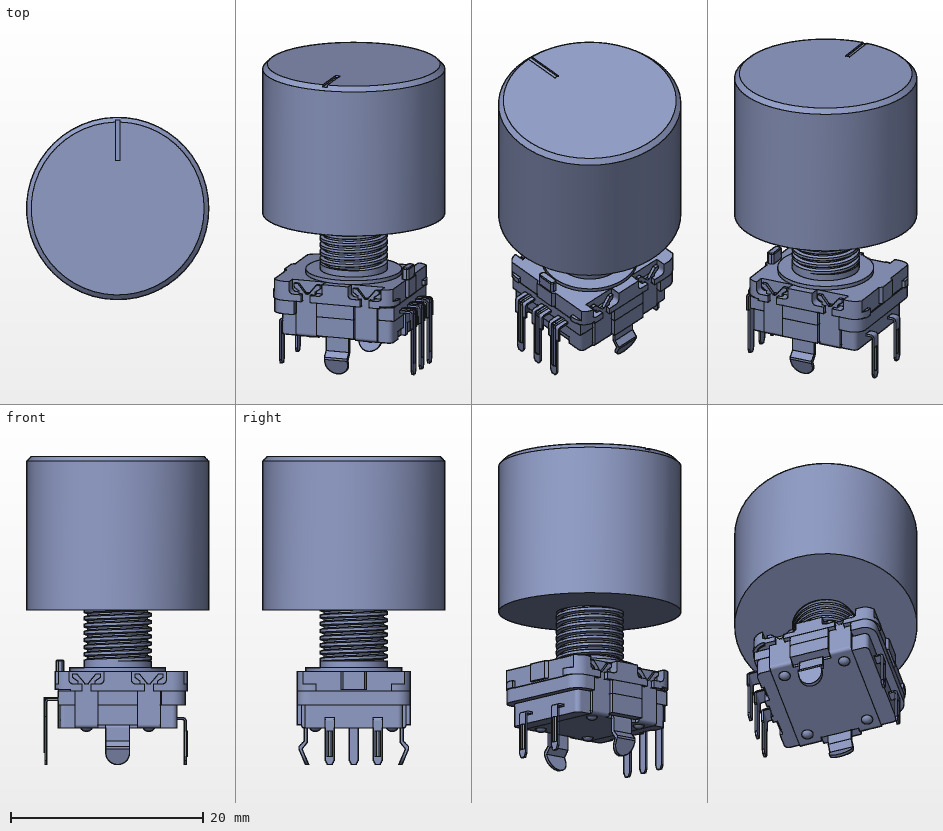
import cadquery as cq


knob_radius = 9.5
knob_bevel = 0.5
knob_bottom_z = 12.3
knob_height = 16.0
mark_width = 0.5
mark_depth = 0.2
mark_inner_y = 5.0

base_top_z = 2.4
board_top_z = 3.85
housing_top_z = 5.9
body_half_y = 5.1
panel_half_y = 5.9
base_left_x = -6.0
base_right_x = 6.2
base_corner_radius = 0.5
board_left_x = -6.2
board_right_x = 7.05
board_corner_radius = 1.35
board_wing_x = 4.55
center_rib_half_y = 1.45
terminal_notch_outer_y = 3.2
terminal_notch_depth = 0.3
terminal_notch_height = 0.85
center_notch_half_y = 0.7
center_notch_height = 1.2

housing_left_x = -6.5
housing_right_x = 7.25
housing_corner_radius = 1.6
flat_depth = 0.33
skirt_top_z = 4.6
skirt_bottom_z = 4.05
skirt_inner_y = 3.95
boss_half_y = 1.35
boss_bevel = 0.25
lug_left_x = -6.4
lug_length = 0.8
lug_half_y = 1.05
lug_bevel = 0.22
lug_top_bevel = 0.1
lug_top_z = 7.1

flange_radius = 5.0
flange_height = 0.4
bushing_radius = 3.5
thread_pitch = 0.75
thread_turns = 9
thread_start_z = 6.18
collar_top_z = 6.97
thread_depth = 0.38
groove_outer_width = 0.45
groove_root_width = 0.2
cut_tolerance = 1e-3

sheet = 0.35
strap_x = 3.25
strap_width = 2.4
strap_outer_y = body_half_y + sheet
strap_bend_radius = 0.34
neck_half_width = 0.48
fork_half_width = 1.45
fork_tip_half_width = 1.0
fork_foot_half_width = 0.9
fork_valley_half_width = 0.12
fork_top_z = 5.65
fork_tip_bottom_z = 5.28
fork_foot_top_z = 4.9
pocket_width = 3.65
pocket_back_y = 4.8
pocket_corner_radius = 0.45
leg_half_width = 1.25
leg_outer_y = 5.17
leg_kink_y = 5.72
leg_kink_z = -2.05
leg_kink_flat = 0.24
leg_bend_z = -1.35
leg_bend_offset = 0.12
leg_toe_y = 5.03
plate_lap_y = 4.0
dimple_y = 4.0
dimple_radius = 0.6
dimple_height = 0.35

tip_z = -3.8
pin_sheet = 0.22
pin_inner_bend = 0.15
pin_width = 0.94
pin_tip_half_width = 0.25
pin_tip_length = 0.45
pin_pitch = 2.5
bead_height = 0.1
bead_base_width = 0.6
bead_crest_width = 0.25
signal_pin_top_z = 3.1
signal_pin_outer_x = -7.58
signal_shoulder_width = 1.5
signal_shoulder_z = 1.2
signal_bead_end_z = -2.55
switch_pin_top_z = 1.1
switch_pin_outer_x = 7.15
switch_bead_top_z = -0.3
switch_bead_end_z = -2.95


def block(x0, x1, y0, y1, z0, z1):
    """Axis-aligned box between two opposite corners."""
    return cq.Workplane("XY").box(x1 - x0, y1 - y0, z1 - z0, centered=False).translate((x0, y0, z0))


def both_y_sides(shape):
    """The shape together with its mirror image across the XZ plane."""
    return shape.union(shape.mirror("XZ"))


def make_knob():
    knob = (
        cq.Workplane("XY", origin=(0, 0, knob_bottom_z))
        .circle(knob_radius)
        .extrude(knob_height)
        .faces(">Z")
        .chamfer(knob_bevel)
    )
    top_z = knob_bottom_z + knob_height
    mark = block(-mark_width / 2, mark_width / 2, mark_inner_y, knob_radius, top_z - mark_depth, top_z)
    return knob.cut(mark)


def make_thread_groove():
    """Right-handed trapezoidal groove running from inside the collar's height out through the top."""
    helix = cq.Wire.makeHelix(thread_pitch, thread_pitch * thread_turns, bushing_radius)
    overrun = 0.1
    profile = (
        cq.Workplane("XZ")
        .moveTo(bushing_radius - thread_depth, -groove_root_width / 2)
        .lineTo(bushing_radius - thread_depth, groove_root_width / 2)
        .lineTo(bushing_radius, groove_outer_width / 2)
        .lineTo(bushing_radius + overrun, groove_outer_width / 2)
        .lineTo(bushing_radius + overrun, -groove_outer_width / 2)
        .lineTo(bushing_radius, -groove_outer_width / 2)
        .close()
    )
    return profile.sweep(cq.Workplane(helix), isFrenet=True).translate((0, 0, thread_start_z))


def make_bushing():
    flange = cq.Workplane("XY", origin=(0, 0, housing_top_z)).circle(flange_radius).extrude(flange_height)
    collar_height = collar_top_z - housing_top_z
    collar = cq.Workplane("XY", origin=(0, 0, housing_top_z)).circle(bushing_radius).extrude(collar_height)
    barrel_height = knob_bottom_z - collar_top_z
    barrel = cq.Workplane("XY", origin=(0, 0, collar_top_z)).circle(bushing_radius).extrude(barrel_height)
    barrel = barrel.rotate((0, 0, 0), (0, 0, 1), 180)
    return flange.union(collar).union(barrel.cut(make_thread_groove(), tol=cut_tolerance))


def make_end_boss(x_outer, inward):
    """Bevelled boss on one end flat; inward is the X direction towards the encoder axis."""
    x_flat = x_outer + inward * flat_depth
    outline = [
        (x_flat + inward * flat_depth, -boss_half_y),
        (x_flat, -boss_half_y),
        (x_outer, -boss_half_y + boss_bevel),
        (x_outer, boss_half_y - boss_bevel),
        (x_flat, boss_half_y),
        (x_flat + inward * flat_depth, boss_half_y),
    ]
    boss_height = housing_top_z - skirt_bottom_z
    return cq.Workplane("XY", origin=(0, 0, skirt_bottom_z)).polyline(outline).close().extrude(boss_height)


def make_strap_recess(x):
    """Slot for the strap's neck below an open pocket for its fork, on the -Y side."""
    slot = block(
        x - neck_half_width, x + neck_half_width, -panel_half_y, -body_half_y, board_top_z, skirt_top_z
    )
    pocket = block(
        x - pocket_width / 2, x + pocket_width / 2, -panel_half_y, -pocket_back_y, skirt_top_z, housing_top_z
    )
    pocket = pocket.edges("|Y and <Z").fillet(pocket_corner_radius)
    return slot.union(pocket)


def make_housing():
    plate = block(
        housing_left_x, housing_right_x, -panel_half_y, panel_half_y, board_top_z, housing_top_z
    )
    plate = plate.edges("|Z").fillet(housing_corner_radius)

    for x_outer, inward in ((housing_left_x, 1), (housing_right_x, -1)):
        x_flat = x_outer + inward * flat_depth
        x0, x1 = sorted((x_outer, x_flat))
        plate = plate.cut(block(x0, x1, -panel_half_y, panel_half_y, skirt_top_z, housing_top_z))
        plate = plate.cut(block(x0, x1, -skirt_inner_y, skirt_inner_y, board_top_z, skirt_top_z))
        plate = plate.union(make_end_boss(x_outer, inward))

    corner_x = housing_left_x + housing_corner_radius
    corner_y = panel_half_y - housing_corner_radius
    undercut = block(housing_left_x, corner_x, corner_y, panel_half_y, board_top_z, skirt_bottom_z)
    kept_corner = (
        cq.Workplane("XY", origin=(corner_x, corner_y, board_top_z))
        .circle(housing_corner_radius - flat_depth)
        .extrude(skirt_bottom_z - board_top_z)
    )
    skirt_lip = block(
        housing_left_x, housing_left_x + flat_depth, skirt_inner_y, corner_y, board_top_z, skirt_bottom_z
    )
    plate = plate.cut(both_y_sides(undercut.cut(kept_corner).union(skirt_lip)))

    for x in (-strap_x, strap_x):
        plate = plate.cut(both_y_sides(make_strap_recess(x)))

    lug = block(lug_left_x, lug_left_x + lug_length, -lug_half_y, lug_half_y, skirt_top_z, lug_top_z)
    lug = lug.edges("|Z").chamfer(lug_bevel).faces(">Z").chamfer(lug_top_bevel)
    return plate.union(lug).union(make_bushing())


def center_panel(z0, z1):
    """Raised middle panel between the straps, spanning both Y sides."""
    half_x = strap_x - strap_width / 2
    return block(-half_x, half_x, -panel_half_y, panel_half_y, z0, z1)


def make_terminal_board():
    board = block(board_left_x, board_right_x, -body_half_y, body_half_y, base_top_z, board_top_z)
    wing = block(board_wing_x, board_right_x, -panel_half_y, panel_half_y, base_top_z, board_top_z)
    wing = wing.edges("|Z and >X").fillet(board_corner_radius)
    board = board.cut(block(board_wing_x, board_right_x, -body_half_y, body_half_y, base_top_z, board_top_z))
    return board.union(wing).union(center_panel(base_top_z, board_top_z))


def make_base():
    base = block(base_left_x, base_right_x, -body_half_y, body_half_y, 0, base_top_z)
    base = base.edges("|Z").fillet(base_corner_radius)
    base = base.union(
        block(board_left_x, base_left_x, -center_rib_half_y, center_rib_half_y, 0, base_top_z)
    )
    center_notch = block(
        board_left_x, base_left_x, -center_notch_half_y, center_notch_half_y, 0, center_notch_height
    )
    base = base.cut(center_notch)
    base = base.union(center_panel(sheet, base_top_z))
    notch = block(
        base_left_x,
        base_left_x + terminal_notch_depth,
        center_rib_half_y,
        terminal_notch_outer_y,
        0,
        terminal_notch_height,
    )
    base = base.cut(both_y_sides(notch))
    channel_half_x = strap_x + strap_width / 2
    return base.cut(block(-channel_half_x, channel_half_x, -body_half_y, body_half_y, 0, sheet))


def make_strap(x):
    """Strap up the -Y side, rounded at the bottom, with a spread fork locking it in the housing."""
    strap = block(
        x - strap_width / 2, x + strap_width / 2, -strap_outer_y, -body_half_y, 0, board_top_z
    )
    strap = strap.edges("|X and <Z and <Y").fillet(strap_bend_radius)
    half_outline = [
        (neck_half_width, board_top_z),
        (neck_half_width, skirt_top_z),
        (fork_foot_half_width, skirt_top_z),
        (fork_foot_half_width, fork_foot_top_z),
        (fork_half_width, fork_tip_bottom_z),
        (fork_half_width, fork_top_z),
        (fork_tip_half_width, fork_top_z),
        (fork_valley_half_width, skirt_top_z),
    ]
    outline = half_outline + [(-u, z) for u, z in reversed(half_outline)]
    fork = cq.Workplane("XZ", origin=(x, -body_half_y, 0)).polyline(outline).close().extrude(sheet)
    return strap.union(fork)


def make_leg():
    """Snap-in leg on the -Y side: bent down from the plate, kinked outwards, with a round toe."""
    side_shape = (
        cq.Workplane("YZ", origin=(-leg_half_width, 0, 0))
        .moveTo(-plate_lap_y, sheet)
        .lineTo(-leg_outer_y + sheet, sheet)
        .radiusArc((-leg_outer_y, 0), -sheet)
        .lineTo(-leg_outer_y, leg_bend_z)
        .lineTo(-leg_kink_y, leg_kink_z + leg_kink_flat / 2)
        .lineTo(-leg_kink_y, leg_kink_z - leg_kink_flat / 2)
        .lineTo(-leg_toe_y, tip_z)
        .lineTo(-leg_toe_y + sheet, tip_z)
        .lineTo(-leg_kink_y + sheet, leg_kink_z - leg_kink_flat / 2)
        .lineTo(-leg_outer_y + sheet, leg_bend_z - leg_bend_offset)
        .lineTo(-leg_outer_y + sheet, 0)
        .lineTo(-plate_lap_y, 0)
        .close()
    )
    leg = side_shape.extrude(2 * leg_half_width)
    toe_center_z = tip_z + leg_half_width
    front_shape = (
        cq.Workplane("XZ")
        .moveTo(-leg_half_width, sheet)
        .lineTo(-leg_half_width, toe_center_z)
        .threePointArc((0, tip_z), (leg_half_width, toe_center_z))
        .lineTo(leg_half_width, sheet)
        .close()
        .extrude(panel_half_y)
    )
    return leg.intersect(front_shape)


def make_dimple(x):
    """Shallow spherical bump under the plate on the -Y side."""
    sphere_radius = (dimple_radius**2 + dimple_height**2) / (2 * dimple_height)
    ball = cq.Workplane("XY").sphere(sphere_radius)
    ball = ball.translate((x, -dimple_y, sphere_radius - dimple_height))
    below_plate = block(
        x - strap_width / 2, x + strap_width / 2, -body_half_y, 0, -dimple_height, sheet / 2
    )
    return ball.intersect(below_plate)


def make_bracket():
    plate_half_x = strap_x + strap_width / 2
    plate_half_y = leg_outer_y - sheet
    bracket = block(-plate_half_x, plate_half_x, -plate_half_y, plate_half_y, 0, sheet)
    side = make_leg()
    for x in (-strap_x, strap_x):
        x0 = x - strap_width / 2
        side = side.union(block(x0, x0 + strap_width, -body_half_y, -plate_lap_y, 0, sheet))
        side = side.union(make_strap(x))
        side = side.union(make_dimple(x))
    return bracket.union(both_y_sides(side))


def make_pin(root_x, outer_x, top_z, y):
    """L-shaped sheet terminal: out from the body at root_x, then down to a tapered tip."""
    outward = 1 if outer_x > root_x else -1
    inner_x = outer_x - outward * pin_sheet
    outer_bend = pin_inner_bend + pin_sheet
    profile = (
        cq.Workplane("XZ", origin=(0, y, 0))
        .moveTo(root_x, top_z)
        .lineTo(outer_x - outward * outer_bend, top_z)
        .radiusArc((outer_x, top_z - outer_bend), outward * outer_bend)
        .lineTo(outer_x, tip_z)
        .lineTo(inner_x, tip_z)
        .lineTo(inner_x, top_z - outer_bend)
        .radiusArc((inner_x - outward * pin_inner_bend, top_z - pin_sheet), -outward * pin_inner_bend)
        .lineTo(root_x, top_z - pin_sheet)
        .close()
    )
    return profile.extrude(signal_shoulder_width / 2, both=True)


def make_pin_trim(y):
    """Prism along X that trims a terminal to its width and tapers its tip."""
    taper_z = tip_z + pin_tip_length
    outline = [
        (-pin_width / 2, signal_pin_top_z),
        (-pin_width / 2, taper_z),
        (-pin_tip_half_width, tip_z),
        (pin_tip_half_width, tip_z),
        (pin_width / 2, taper_z),
        (pin_width / 2, signal_pin_top_z),
    ]
    return cq.Workplane("YZ", origin=(0, y, 0)).polyline(outline).close().extrude(knob_radius, both=True)


def make_bead(path_points, y, outward):
    """Trapezoidal stiffening bead along an XZ path, on the face towards outward (+1 or -1 in X)."""
    (x0, z0), (x1, z1) = path_points[:2]
    path = cq.Workplane("XZ", origin=(0, y, 0)).polyline(path_points)
    outline = [
        (-bead_base_width / 2, 0),
        (-bead_crest_width / 2, bead_height),
        (bead_crest_width / 2, bead_height),
        (bead_base_width / 2, 0),
    ]
    plane = cq.Plane(origin=(x0, y, z0), xDir=(0, outward, 0), normal=(x1 - x0, 0, z1 - z0))
    return cq.Workplane(plane).polyline(outline).close().sweep(path, transition="right")


def make_signal_pin(y):
    pin = make_pin(board_left_x, signal_pin_outer_x, signal_pin_top_z, y)
    half_shoulder = signal_shoulder_width / 2
    shoulder = block(
        signal_pin_outer_x,
        board_left_x,
        y - half_shoulder,
        y + half_shoulder,
        signal_shoulder_z,
        signal_pin_top_z,
    )
    pin = pin.intersect(make_pin_trim(y).union(shoulder))
    bead_path = [
        (board_left_x, signal_pin_top_z),
        (signal_pin_outer_x, signal_pin_top_z),
        (signal_pin_outer_x, signal_bead_end_z),
    ]
    return pin.union(make_bead(bead_path, y, -1))


def make_switch_pin(y):
    pin = make_pin(base_right_x, switch_pin_outer_x, switch_pin_top_z, y)
    pin = pin.intersect(make_pin_trim(y))
    bead_path = [(switch_pin_outer_x, switch_bead_top_z), (switch_pin_outer_x, switch_bead_end_z)]
    return pin.union(make_bead(bead_path, y, 1))


knob = make_knob()
housing = make_housing()
terminal_board = make_terminal_board()
base = make_base()
bracket = make_bracket()
signal_pins = [make_signal_pin(y) for y in (-pin_pitch, 0, pin_pitch)]
switch_pins = [make_switch_pin(y) for y in (-pin_pitch, pin_pitch)]

bodies = [knob, housing, terminal_board, base, bracket, *signal_pins, *switch_pins]
result = cq.Compound.makeCompound([body.val() for body in bodies])